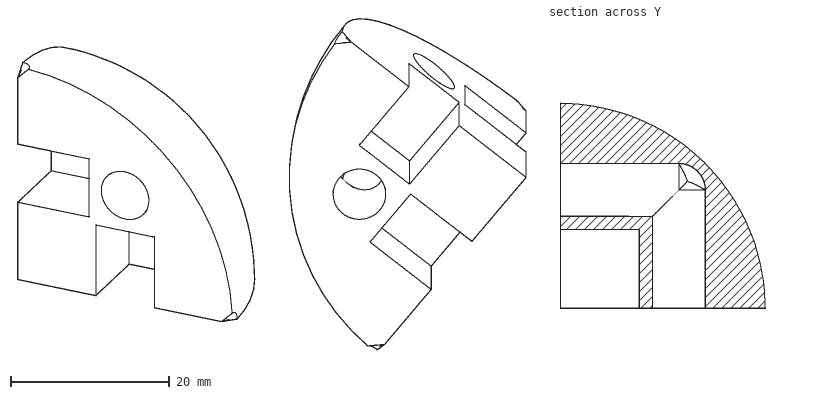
import cadquery as cq
import math

outer_size = 29.95
pit_radius = 1.5
pit_depth = 1.5
sphere_radius = math.hypot(outer_size, pit_radius)
middle = sphere_radius / 2

pocket_side = 9.98
pocket_length = 8.18

hole_diameter = 6.65
drill_point_angle = 118.0

AXES = [cq.Vector(1, 0, 0), cq.Vector(0, 1, 0), cq.Vector(0, 0, 1)]
CENTRE = cq.Vector(middle, middle, middle)


def sphere_octant():
    """Eighth of a ball in the positive octant, with its corner at the origin."""
    ball = cq.Workplane("XY").sphere(sphere_radius)
    octant = cq.Workplane("XY").box(*[2 * sphere_radius] * 3, centered=False)
    return ball.intersect(octant)


def edge_pocket(axis):
    """Notch on the straight edge that runs along the axis."""
    sides = [pocket_length if along else pocket_side for along in axis.toTuple()]
    start = axis * (middle - pocket_length / 2)
    return cq.Workplane("XY").box(*sides, centered=False).translate(start)


def drilled_hole(axis):
    """Hole from a flat face to the shared centre, ending in a drill point."""
    radius = hole_diameter / 2
    tip_length = radius / math.tan(math.radians(drill_point_angle / 2))
    shaft = cq.Solid.makeCylinder(radius, middle, CENTRE - axis * middle, axis)
    tip = cq.Solid.makeCone(radius, 0, tip_length, CENTRE, axis)
    return cq.Workplane("XY").add(shaft.fuse(tip))


def pole_pit(axis):
    """Conical pit where the axis meets the sphere, opened past the surface."""
    overshoot = 0.6
    height = pit_depth + overshoot
    mouth_radius = pit_radius * height / pit_depth
    apex = axis * (outer_size - pit_depth)
    return cq.Workplane("XY").add(cq.Solid.makeCone(0, mouth_radius, height, apex, axis))


result = sphere_octant()
for axis in AXES:
    result = result.cut(edge_pocket(axis))
    result = result.cut(drilled_hole(axis))
    result = result.cut(pole_pit(axis))